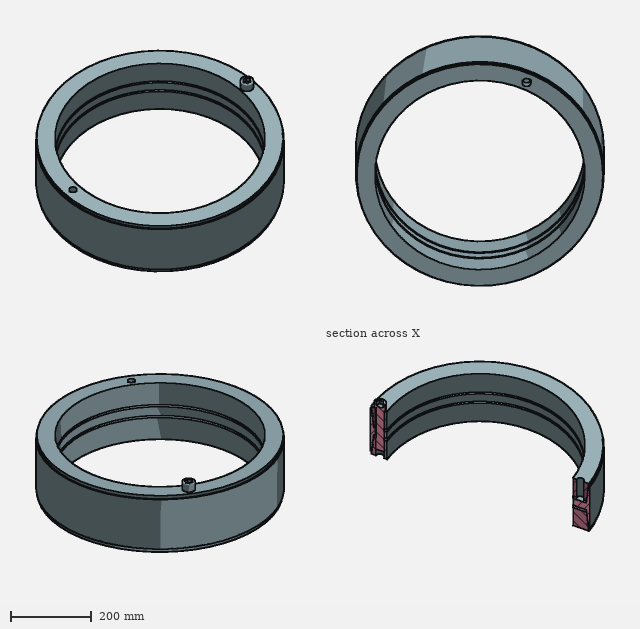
import cadquery as cq
import math

bore_diameter = 520.0
outer_ring_diameter = 615.0
clamp_ring_diameter = 610.0
ring_stack_height = 161.0
end_projection = 10.0
clamp_ring_length = 62.0
gap = 6.0
taper_angle = 7.0

hole_circle_radius = 280.0
screw_diameter = 22.0
head_diameter = 33.0
head_height = screw_diameter
head_rounding = 2.2
screw_length = 140.0
socket_width = 17.0
socket_depth = 11.0
socket_point_angle = 120.0
clearance_hole_diameter = 24.0
jacking_hole_diameter = 19.29

bore_radius = bore_diameter / 2
outer_ring_radius = outer_ring_diameter / 2
clamp_end_radius = clamp_ring_diameter / 2
seat_slope = math.tan(math.radians(taper_angle))
middle_height = ring_stack_height / 2

outer_ring_bottom = end_projection
outer_ring_top = ring_stack_height - end_projection
web_bottom = clamp_ring_length + gap
web_top = ring_stack_height - web_bottom
seat_mouth_radius = clamp_end_radius - end_projection * seat_slope
seat_root_radius = clamp_end_radius - web_bottom * seat_slope
clamp_tip_radius = clamp_end_radius - clamp_ring_length * seat_slope


def revolved(profile):
    """Turn a closed (radius, height) outline about the Z axis."""
    return cq.Workplane("XZ").polyline(profile).close().revolve(360, (0, 0, 0), (0, 1, 0))


def vertical_cylinder(diameter, y, bottom, top):
    return cq.Workplane("XY", origin=(0, y, bottom)).circle(diameter / 2).extrude(top - bottom)


def make_outer_ring():
    """Ring with two tapered seats that narrow towards a central web."""
    ring = revolved([
        (outer_ring_radius, outer_ring_bottom),
        (outer_ring_radius, outer_ring_top),
        (seat_mouth_radius, outer_ring_top),
        (seat_root_radius, web_top),
        (bore_radius, web_top),
        (bore_radius, web_bottom),
        (seat_root_radius, web_bottom),
        (seat_mouth_radius, outer_ring_bottom),
    ])
    return ring.cut(vertical_cylinder(clearance_hole_diameter, hole_circle_radius, web_bottom, web_top))


def make_clamp_ring_blank():
    """Lower clamp ring without holes, tapering from its exposed end towards the web."""
    return revolved([
        (bore_radius, 0),
        (clamp_end_radius, 0),
        (clamp_tip_radius, clamp_ring_length),
        (bore_radius, clamp_ring_length),
    ])


def make_lower_clamp_ring():
    screw_hole = vertical_cylinder(screw_diameter, hole_circle_radius, 0, clamp_ring_length)
    return make_clamp_ring_blank().cut(screw_hole)


def make_upper_clamp_ring():
    blank = make_clamp_ring_blank().mirror("XY", (0, 0, middle_height))
    tip_height = ring_stack_height - clamp_ring_length
    clearance_hole = vertical_cylinder(
        clearance_hole_diameter, hole_circle_radius, tip_height, ring_stack_height
    )
    jacking_hole = vertical_cylinder(
        jacking_hole_diameter, -hole_circle_radius, tip_height, ring_stack_height
    )
    return blank.cut(clearance_hole).cut(jacking_hole)


def make_screw():
    """Socket head screw; its hexagon socket ends in a conical floor."""
    head_top = ring_stack_height + head_height
    head = vertical_cylinder(head_diameter, hole_circle_radius, ring_stack_height, head_top)
    head = head.faces(">Z").edges().fillet(head_rounding)
    shank = vertical_cylinder(
        screw_diameter, hole_circle_radius, ring_stack_height - screw_length, ring_stack_height
    )

    across_corners = socket_width / math.cos(math.radians(30))
    corner_radius = across_corners / 2
    point_depth = corner_radius / math.tan(math.radians(socket_point_angle / 2))
    socket_floor = head_top - socket_depth
    socket_tip = socket_floor - point_depth
    drilling = revolved([
        (0, socket_tip),
        (corner_radius, socket_floor),
        (corner_radius, head_top),
        (0, head_top),
    ]).translate((0, hole_circle_radius, 0))
    hexagon = (
        cq.Workplane("XY", origin=(0, hole_circle_radius, socket_tip))
        .transformed(rotate=(0, 0, 90))
        .polygon(6, across_corners)
        .extrude(head_top - socket_tip)
    )
    return head.union(shank).cut(hexagon.intersect(drilling))


outer_ring = make_outer_ring()
lower_clamp_ring = make_lower_clamp_ring()
upper_clamp_ring = make_upper_clamp_ring()
screw = make_screw()

result = cq.Compound.makeCompound([
    outer_ring.val(),
    lower_clamp_ring.val(),
    upper_clamp_ring.val(),
    screw.val(),
])